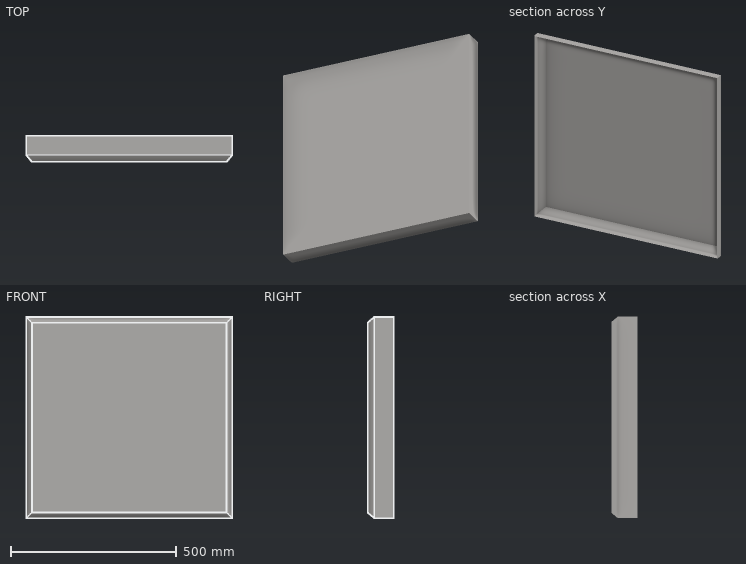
import cadquery as cq
import math

WIDTH = 625.0
DEPTH = 80.0
HEIGHT = 610.0
WALL = 2.0
BEVEL_DEPTH = 20.0
BEVEL_ANGLE = math.radians(40)

PANEL_THICKNESS = 1.0

bevel_inset = BEVEL_DEPTH * math.tan(BEVEL_ANGLE)

opening_inset = bevel_inset + WALL / math.cos(BEVEL_ANGLE)
cavity_bevel_depth = (opening_inset - WALL) / math.tan(BEVEL_ANGLE)


def slab(inset, y_front, y_back):
    """Rectangular block between two Y planes, inset from the outer sides."""
    return (
        cq.Workplane("XZ", origin=(0, y_front, 0))
        .rect(WIDTH - 2 * inset, HEIGHT - 2 * inset)
        .extrude(y_front - y_back)
    )


def bevelled_block(side_inset, front_inset, bevel_depth, y_back):
    """Block that tapers towards the front plane over its bevel depth."""
    taper = (
        cq.Workplane("XZ", origin=(0, bevel_depth, 0))
        .rect(WIDTH - 2 * side_inset, HEIGHT - 2 * side_inset)
        .workplane(offset=bevel_depth)
        .rect(WIDTH - 2 * front_inset, HEIGHT - 2 * front_inset)
        .loft()
    )
    return slab(side_inset, bevel_depth, y_back).union(taper)


def make_housing():
    outer = bevelled_block(0, bevel_inset, BEVEL_DEPTH, DEPTH)
    cavity = bevelled_block(WALL, opening_inset, cavity_bevel_depth, DEPTH - WALL)
    return outer.cut(cavity).solids()


def make_front_panel():
    return slab(opening_inset, 0, PANEL_THICKNESS)


housing = make_housing()
front_panel = make_front_panel()

result = cq.Compound.makeCompound([housing.val(), front_panel.val()])